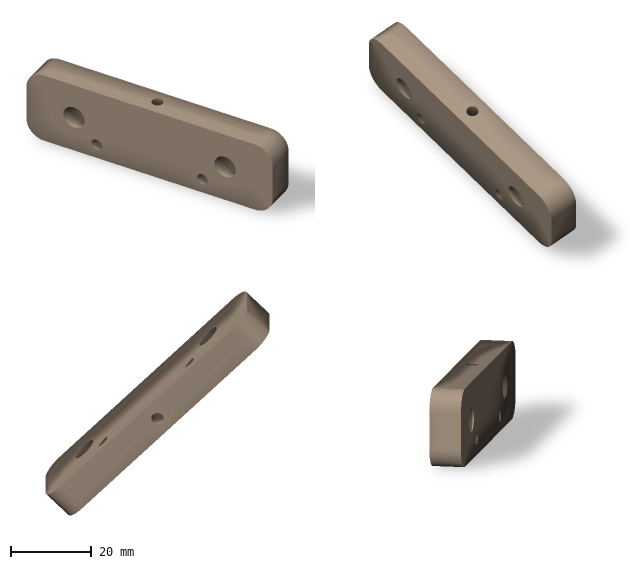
import cadquery as cq

length = 70.0
thickness = 8.0
height = 19.75
corner_radius = 5.0

large_hole_diameter = 6.0
large_hole_spacing = 43.0
large_hole_z = 0.15
small_hole_diameter = 3.0
small_hole_spacing = 30.0
small_hole_z = -5.9

vertical_hole_diameter = 3.0


def hole_pair(diameter, spacing, z):
    """Two cylinders along Y, running through the whole thickness."""
    return (
        cq.Workplane("XZ")
        .pushPoints([(-spacing / 2, z), (spacing / 2, z)])
        .circle(diameter / 2)
        .extrude(thickness, both=True)
    )


plate = cq.Workplane("XY").box(length, thickness, height)
plate = plate.edges("|Y").fillet(corner_radius)

large_holes = hole_pair(large_hole_diameter, large_hole_spacing, large_hole_z)
small_holes = hole_pair(small_hole_diameter, small_hole_spacing, small_hole_z)
vertical_hole = cq.Workplane("XY").circle(vertical_hole_diameter / 2).extrude(height, both=True)

result = plate.cut(large_holes).cut(small_holes).cut(vertical_hole)